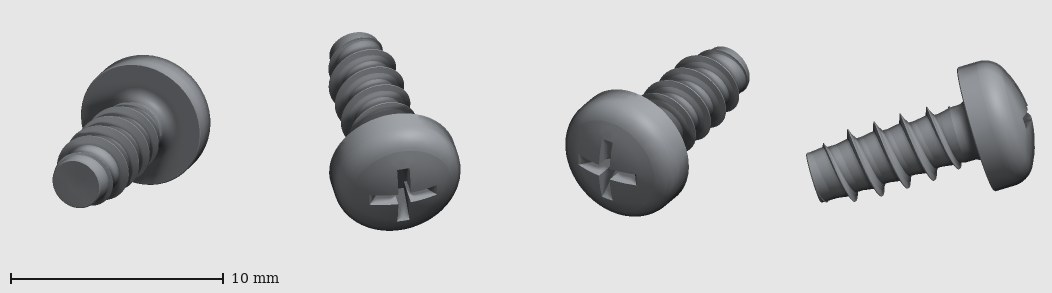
import cadquery as cq
import math


HEAD_RADIUS = 3.05
HEAD_HEIGHT = 2.65
HEAD_BAND = 1.0
DOME_RADIUS = 5.05
RIM_CHAMFER = 0.05

SLOT_WIDTH = 0.6
SLOT_DEPTH = 1.5
WING_REACH = 1.65
WING_EDGE_Y = 2.42
WING_FOOT = 0.7

SHANK_LENGTH = 8.0
NECK_RADIUS = 1.35
NECK_LENGTH = 0.87
NECK_FILLET = 0.5
CORE_RADIUS = 1.22
TIP_CHAMFER = 0.05
TIP_DIMPLE_DEPTH = 0.05

CREST_RADIUS = 1.745
PITCH = 1.29
TURN_ZERO_Y = -1.875
THREAD_BASE = CORE_RADIUS - 0.02
POINTS_PER_TURN = 16

THREAD_START = -1.0
EASE_END = -0.5
RUN_IN_END = 0.25
RUN_OUT_START = 3.2
THREAD_END = 4.75
RUN_IN_SLOPE = 0.257
RUN_OUT_SLOPE = 0.345

CREST_HALF_WIDTH = 0.02
LOWER_FLANK_OFFSET = -0.16
UPPER_BREAK_OFFSET = 0.115
UPPER_BREAK_RADIUS = 1.465
UPPER_FOOT_OFFSET = 0.29

SWELL_RADIUS = 1.315
SWELL_LENGTH = 0.87
SWELL_FADE_START = 3.75
TURN_GAP = 0.02
NECK_TAPER_LENGTH = 0.58


def head():
    apex = HEAD_HEIGHT + (SLOT_WIDTH / math.sqrt(2)) ** 2 / (2 * DOME_RADIUS)
    dome_center = apex - DOME_RADIUS
    rise = HEAD_BAND - dome_center
    shoulder = (DOME_RADIUS**2 - HEAD_RADIUS**2 - rise**2) / (2 * (DOME_RADIUS - HEAD_RADIUS))
    shoulder_center = HEAD_RADIUS - shoulder
    angle = math.atan2(rise, shoulder_center)

    def on_shoulder(a):
        return (shoulder_center + shoulder * math.cos(a), HEAD_BAND + shoulder * math.sin(a))

    def on_dome(a):
        return (DOME_RADIUS * math.cos(a), dome_center + DOME_RADIUS * math.sin(a))

    outline = (
        cq.Workplane("ZY")
        .lineTo(HEAD_RADIUS - RIM_CHAMFER, 0)
        .lineTo(HEAD_RADIUS, RIM_CHAMFER)
        .lineTo(HEAD_RADIUS, HEAD_BAND)
        .threePointArc(on_shoulder(angle / 2), on_shoulder(angle))
        .threePointArc(on_dome((angle + math.pi / 2) / 2), (0, apex))
        .close()
    )
    return outline.revolve(360, (0, 0), (0, 1))


def recess():
    floor = HEAD_HEIGHT - SLOT_DEPTH
    above = HEAD_HEIGHT + 1
    wing = (
        cq.Workplane("XY")
        .polyline([
            (-WING_FOOT, floor),
            (WING_FOOT, floor),
            (WING_REACH, WING_EDGE_Y),
            (WING_REACH, above),
            (-WING_REACH, above),
            (-WING_REACH, WING_EDGE_Y),
        ])
        .close()
        .extrude(SLOT_WIDTH / 2, both=True)
    )
    return wing.union(wing.rotate((0, 0, 0), (0, 1, 0), 90))


def shank():
    mid = NECK_FILLET * (1 - math.sqrt(0.5))
    outline = (
        cq.Workplane("ZY")
        .moveTo(0, HEAD_BAND)
        .lineTo(NECK_RADIUS + NECK_FILLET, HEAD_BAND)
        .lineTo(NECK_RADIUS + NECK_FILLET, 0)
        .threePointArc((NECK_RADIUS + mid, -mid), (NECK_RADIUS, -NECK_FILLET))
        .lineTo(NECK_RADIUS, -NECK_LENGTH)
        .lineTo(CORE_RADIUS, -NECK_LENGTH - NECK_TAPER_LENGTH)
        .lineTo(CORE_RADIUS, -SHANK_LENGTH)
        .lineTo(0, -SHANK_LENGTH)
        .close()
    )
    return outline.revolve(360, (0, 0), (0, 1))


def crest_y(turn):
    """Height on the helix, which starts level and eases into the full pitch."""
    early = max(0, EASE_END - turn)
    lead_in = PITCH * early**2 / (2 * (EASE_END - THREAD_START))
    return TURN_ZERO_Y - PITCH * turn - lead_in


def ridge_size(turn):
    """Ridge size as a fraction of the full section."""
    run_in = RUN_IN_SLOPE * max(0, RUN_IN_END - turn)
    run_out = RUN_OUT_SLOPE * max(0, turn - RUN_OUT_START)
    return 1 - (run_in + run_out) / (CREST_RADIUS - THREAD_BASE)


def ridge_corner(offset, radius):
    """Corner of the ridge section as (radius, height) at a turn."""
    def place(turn):
        size = ridge_size(turn)
        return (THREAD_BASE + size * (radius - THREAD_BASE), crest_y(turn) + size * offset)

    return place


def swell_thick_end(turn):
    fade = max(0, turn - SWELL_FADE_START) / (THREAD_END - SWELL_FADE_START)
    height = (SWELL_RADIUS - THREAD_BASE) * (1 - fade)
    return (THREAD_BASE + height, crest_y(turn) + ridge_size(turn) * LOWER_FLANK_OFFSET)


def swell_thin_end(turn):
    spacing = crest_y(turn) - crest_y(turn + 1)
    length = min(SWELL_LENGTH, spacing - UPPER_FOOT_OFFSET - TURN_GAP)
    return (THREAD_BASE, crest_y(turn) - length)


def helical_solid(corners, start, end):
    """Solid whose section corners follow radius and height functions of the turn."""
    steps = math.ceil((end - start) * POINTS_PER_TURN)
    turns = [start + (end - start) * i / steps for i in range(steps + 1)]

    def point(corner, turn):
        radius, y = corner(turn)
        angle = 2 * math.pi * turn
        return cq.Vector(radius * math.cos(angle), y, radius * math.sin(angle))

    edges = [cq.Edge.makeSpline([point(corner, t) for t in turns]) for corner in corners]
    faces = [cq.Face.makeRuledSurface(edges[i - 1], edges[i]) for i in range(len(edges))]
    for turn in (start, end):
        section = cq.Wire.makePolygon([point(corner, turn) for corner in corners], close=True)
        faces.append(cq.Face.makeFromWires(section))
    return cq.Workplane(cq.Solid.makeSolid(cq.Shell.makeShell(faces)).fix())


def tip_cut():
    """Everything beyond the tip face, its chamfer and its cone-shaped dimple."""
    face_radius = CORE_RADIUS - TIP_CHAMFER
    reach = 2 * CREST_RADIUS
    outline = (
        cq.Workplane("ZY")
        .moveTo(0, -SHANK_LENGTH + TIP_DIMPLE_DEPTH)
        .lineTo(face_radius, -SHANK_LENGTH)
        .lineTo(reach, -SHANK_LENGTH + reach - face_radius)
        .lineTo(reach, -SHANK_LENGTH - reach)
        .lineTo(0, -SHANK_LENGTH - reach)
        .close()
    )
    return outline.revolve(360, (0, 0), (0, 1))


def threaded_shank():
    """Shank with the thread added one turn at a time."""
    corners = [
        swell_thin_end,
        swell_thick_end,
        ridge_corner(-CREST_HALF_WIDTH, CREST_RADIUS),
        ridge_corner(CREST_HALF_WIDTH, CREST_RADIUS),
        ridge_corner(UPPER_BREAK_OFFSET, UPPER_BREAK_RADIUS),
        ridge_corner(UPPER_FOOT_OFFSET, THREAD_BASE),
    ]
    body = shank()
    for index in range(math.ceil(THREAD_END - THREAD_START)):
        start = THREAD_START + index
        end = min(start + 1, THREAD_END)
        body = body.union(helical_solid(corners, start, end))
    return body


result = head().cut(recess()).union(threaded_shank().cut(tip_cut()))